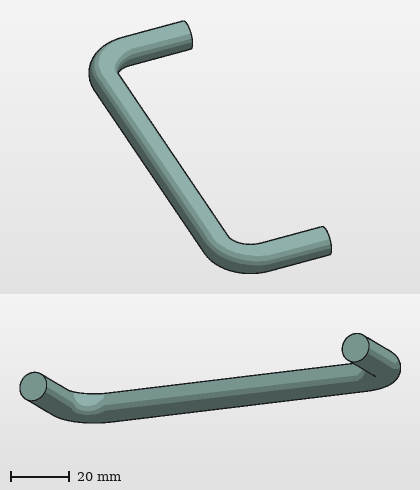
import cadquery as cq
import math

overall_length = 130.0
overall_depth = 40.0
bar_diameter = 10.0
bend_outer_radius = 17.5

bar_radius = bar_diameter / 2
bend_radius = bend_outer_radius - bar_radius

leg_x = overall_length / 2 - bar_radius
grip_y = bar_radius
grip_half_length = leg_x - bend_radius
bend_centre_y = grip_y + bend_radius
bend_mid_offset = bend_radius * math.sin(math.radians(45))
bend_mid_x = grip_half_length + bend_mid_offset
bend_mid_y = bend_centre_y - bend_mid_offset

centreline = (
    cq.Workplane("XY")
    .moveTo(-leg_x, overall_depth)
    .lineTo(-leg_x, bend_centre_y)
    .threePointArc((-bend_mid_x, bend_mid_y), (-grip_half_length, grip_y))
    .lineTo(grip_half_length, grip_y)
    .threePointArc((bend_mid_x, bend_mid_y), (leg_x, bend_centre_y))
    .lineTo(leg_x, overall_depth)
)

result = (
    cq.Workplane("XZ", origin=(-leg_x, overall_depth, 0))
    .circle(bar_radius)
    .sweep(centreline)
)